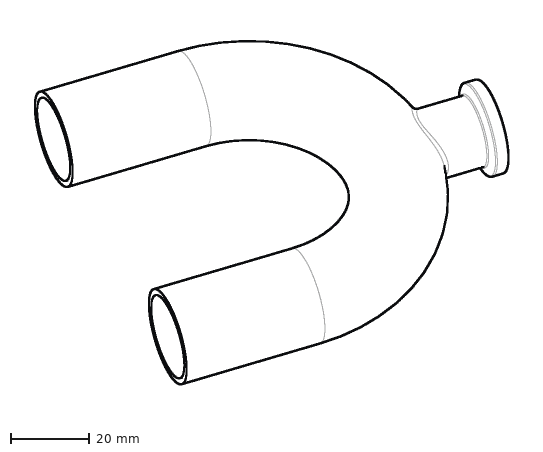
import cadquery as cq
import math

tube_od = 25.4
tube_id = 22.1
bend_radius = 38.1
leg_length = 38.1

overall_length = 104.8
branch_od = 19.1
branch_id = 15.7
branch_end = overall_length - leg_length
weld_fillet = 1.5

flange_od = 25.0
flange_rim = 3.6
back_angle = 20.0
flange_round = 0.4


def u_bend(diameter):
    """Solid round bar along the U: leg, half-circle bend, leg."""
    path = (
        cq.Workplane("XY")
        .moveTo(-bend_radius, -leg_length)
        .lineTo(-bend_radius, 0)
        .threePointArc((0, bend_radius), (bend_radius, 0))
        .lineTo(bend_radius, -leg_length)
    )
    section = cq.Workplane("XZ", origin=(-bend_radius, -leg_length, 0)).circle(diameter / 2)
    return section.sweep(path)


def branch_bar(diameter):
    """Solid round bar from the bend centreline to the ferrule face."""
    plane = cq.Workplane("XZ", origin=(0, bend_radius, 0))
    return plane.circle(diameter / 2).extrude(bend_radius - branch_end)


def flange():
    """Ferrule flange with a sloping back, turned about the Y axis."""
    rim_radius = flange_od / 2
    root_radius = branch_od / 2
    rim_end = branch_end - flange_rim
    root_end = rim_end - (rim_radius - root_radius) * math.tan(math.radians(back_angle))
    profile = (
        cq.Workplane("XY")
        .moveTo(0, branch_end)
        .lineTo(rim_radius, branch_end)
        .lineTo(rim_radius, rim_end)
        .lineTo(root_radius, root_end)
        .lineTo(0, root_end)
        .close()
    )
    return profile.revolve(360, (0, 0, 0), (0, 1, 0))


outside = u_bend(tube_od).union(branch_bar(branch_od))
bend_top = bend_radius + tube_od / 2
junction_box = cq.selectors.BoxSelector(
    (-branch_od, bend_radius, -branch_od),
    (branch_od, bend_top, branch_od),
)
outside = outside.edges(junction_box).edges("not %CIRCLE").fillet(weld_fillet)

outside = outside.union(flange())
flange_box = cq.selectors.BoxSelector(
    (-flange_od, bend_top + weld_fillet, -flange_od),
    (flange_od, branch_end + flange_round, flange_od),
)
outside = outside.edges(flange_box).edges("%CIRCLE").fillet(flange_round)

result = outside.cut(u_bend(tube_id)).cut(branch_bar(branch_id))